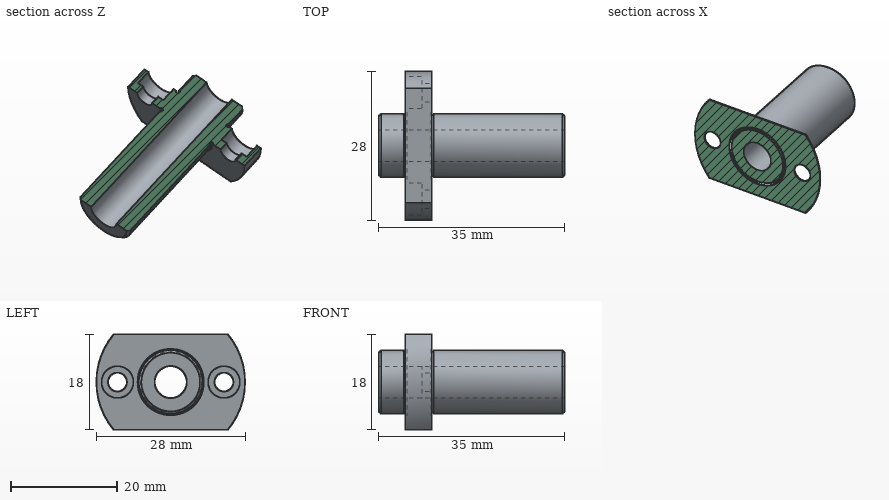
import cadquery as cq

length = 35.0
body_diameter = 12.0
bore_diameter = 6.0
end_chamfer = 0.5

flange_diameter = 28.0
flange_height = 18.0
flange_thickness = 5.0
flange_start = 5.0
flange_end = flange_start + flange_thickness

hole_offset = 10.0
hole_diameter = 3.5
counterbore_diameter = 6.0
counterbore_depth = 3.1

relief_width = 0.3
relief_depth = 0.25
relief_inner_diameter = body_diameter - 2 * relief_depth
relief_outer_diameter = body_diameter + 2 * relief_depth
face_relief_depth = 0.25


def cylinder(start, depth, diameter, y=0.0):
    """Cylinder parallel to X, beginning at x = start."""
    return cq.Workplane("YZ", origin=(start, y, 0)).circle(diameter / 2).extrude(depth)


def make_sleeve():
    return cylinder(0, length, body_diameter).faces("<X or >X").chamfer(end_chamfer)


def make_flange():
    disc = cylinder(flange_start, flange_thickness, flange_diameter)
    flats = cq.Workplane("XY").box(2 * length, flange_diameter, flange_height)
    return disc.intersect(flats)


def relief_ring(start, depth):
    outer = cylinder(start, depth, relief_outer_diameter)
    return outer.cut(cylinder(start, depth, relief_inner_diameter))


def mounting_hole(y):
    through = cylinder(flange_start, flange_thickness, hole_diameter, y)
    return through.union(cylinder(flange_start, counterbore_depth, counterbore_diameter, y))


result = make_sleeve().union(make_flange())
relief_length = relief_width + face_relief_depth
for relief_start in (flange_start - relief_width, flange_end - face_relief_depth):
    result = result.cut(relief_ring(relief_start, relief_length))
for side in (-1, 1):
    result = result.cut(mounting_hole(side * hole_offset))
result = result.cut(cylinder(0, length, bore_diameter))